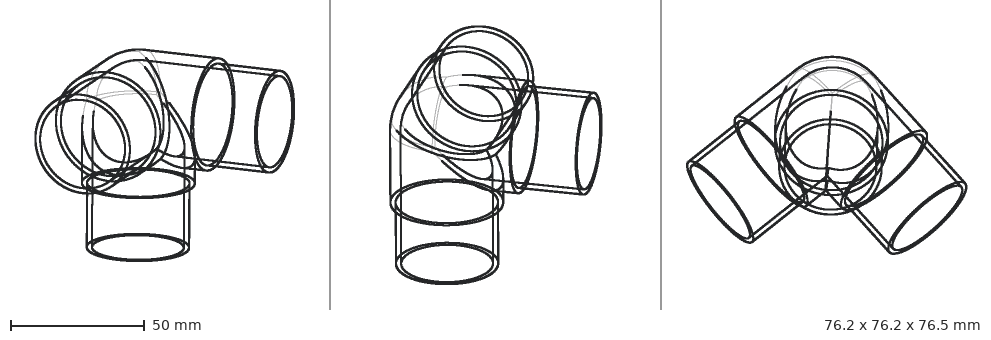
import cadquery as cq

body_diameter = 42.4
spigot_diameter = 38.4
bore_diameter = 34.4
shoulder_distance = 30.0
leg_length = 55.0
down_leg_tilt = 0.95

bore_overrun = 0.8

leg_turns = [
    (0, 90),
    (90, 0),
    (180 - down_leg_tilt, 0),
]


def aim(leg, turns):
    """Turn a leg built along +Z into its final direction."""
    about_x, about_y = turns
    return leg.rotate((0, 0, 0), (1, 0, 0), about_x).rotate((0, 0, 0), (0, 1, 0), about_y)


def cylinder(diameter, length):
    return cq.Workplane("XY").circle(diameter / 2).extrude(length)


def join_at_corner(diameter, leg):
    """Join three copies of a leg to a sphere that rounds the corner."""
    joined = cq.Workplane("XY").sphere(diameter / 2)
    for turns in leg_turns:
        joined = joined.union(aim(leg, turns))
    return joined


outer_leg = cylinder(body_diameter, shoulder_distance).union(cylinder(spigot_diameter, leg_length))
outside = join_at_corner(body_diameter, outer_leg)

bore_leg = cylinder(bore_diameter, leg_length + bore_overrun)
inside = join_at_corner(bore_diameter, bore_leg)

result = outside.cut(inside)